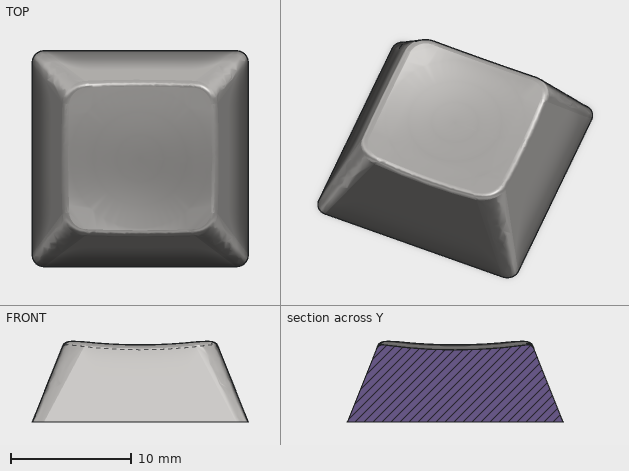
import cadquery as cq

base_side = 18.0
base_corner_radius = 1.0
body_height = 7.5
body_top_side = 12.0
body_top_corner_radius = 2 * base_corner_radius

dish_radius = 42.48
dish_floor_height = 6.03
rim_fillet_radius = 0.54


def rounded_square(side, corner_radius):
    """Square outline with rounded corners, centred on the origin."""
    return cq.Sketch().rect(side, side).vertices().fillet(corner_radius)


def tapered_body():
    """Solid that narrows from the base outline to the top outline."""
    base = rounded_square(base_side, base_corner_radius)
    top = rounded_square(body_top_side, body_top_corner_radius)
    raised_top = top.moved(cq.Location(cq.Vector(0, 0, body_height)))
    return cq.Workplane("XY").placeSketch(base, raised_top).loft()


def dish_cutter():
    """Ball whose lowest point touches the floor of the dish."""
    center_height = dish_floor_height + dish_radius
    return cq.Workplane("XY", origin=(0, 0, center_height)).sphere(dish_radius)


dished_body = tapered_body().cut(dish_cutter())
result = dished_body.faces("%SPHERE").edges().fillet(rim_fillet_radius)